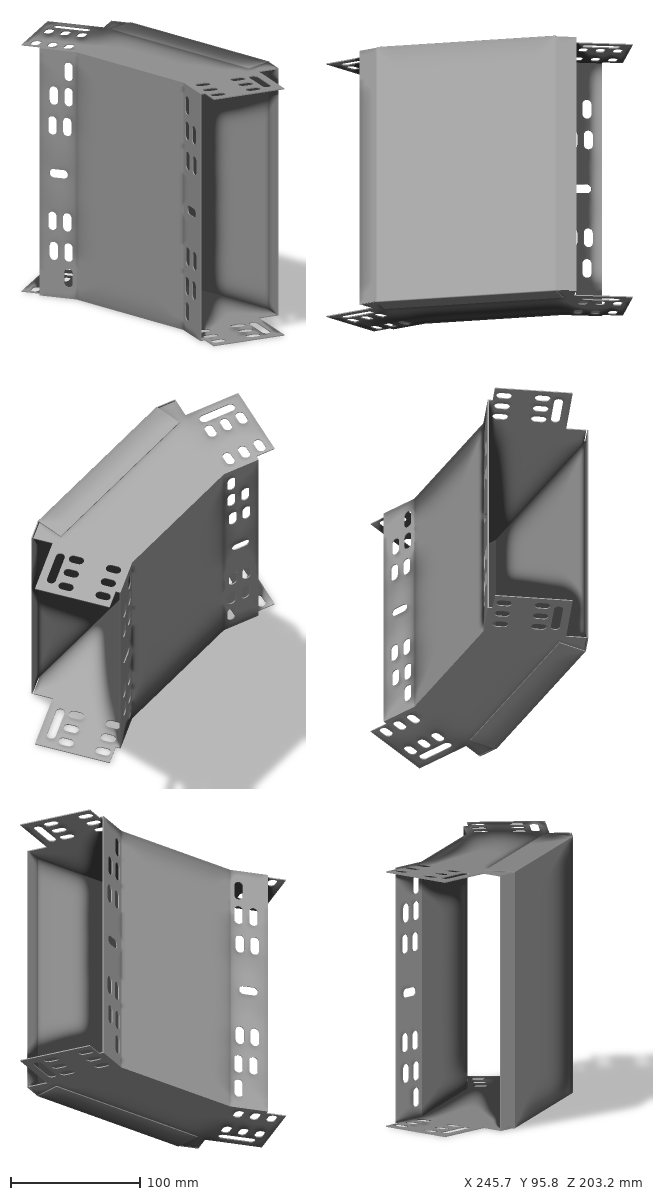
import cadquery as cq
import math


sheet = 0.8
inner_width = 200.0
overall_length = 245.68
overall_depth = 95.78
channel_depth = 80.0
cover_gap = 0.8
wing_angle = 22.5
wall_half_length = 55.4
wall_wing_end = 30.4
cover_wing_end = 0.3
tail_front = 3.85
lip_depth = 23.4
lip_inner_radius = 0.1

plate_slot_width = 7.0
plate_slot_length = 12.0
plate_slot_first_u = 10.4
plate_slot_pitch = 13.5
plate_slot_count = 3
plate_slot_rows = (11.9, 41.9)
long_slot_length = 30.0
long_slot_u = 22.9
long_slot_v = 54.7

wall_slot_width = 7.0
wall_slot_length = 15.0
upright_slots = ((6.7, 84.0), (6.7, 63.3), (18.8, 63.3), (7.8, 38.9), (19.9, 38.9))
level_slot_u = 14.7

angle = math.radians(wing_angle)
cos_wing = math.cos(angle)
sin_wing = math.sin(angle)
miter = math.tan(angle / 2)
outer_width = inner_width + 2 * sheet
cover_width = outer_width + 2 * sheet
cover_front = channel_depth + cover_gap
cover_back = cover_front + sheet
tail_end = (overall_depth - cover_back + tail_front * cos_wing) / sin_wing
tail_back = (overall_length / 2 - wall_half_length - tail_end * cos_wing) / sin_wing


def wing_point(u, v):
    """Plan position, on the +X wing, of the place (u, v)."""
    x = wall_half_length + u * cos_wing + v * sin_wing
    y = v * cos_wing - u * sin_wing
    return (x, y)


def bend_point(depth):
    """Plan position of the +X bend at a depth behind the wall's outer face."""
    return (wall_half_length + depth * miter, depth)


def symmetric_prism(right_points, height):
    """Prism centred on Z, with its outline mirrored about X = 0."""
    left_points = [(-x, y) for x, y in reversed(right_points)]
    outline = cq.Workplane("XY").polyline(right_points + left_points).close()
    return outline.extrude(height / 2, both=True)


def both_wings(cutter):
    """The cutter of the +X wing together with its mirror image."""
    return cutter.union(cutter.mirror("YZ"))


def plate_slot(u, v, length, turn):
    """Slot through both side plates; turn is measured from the wing wall's direction."""
    return (
        cq.Workplane("XY")
        .center(*wing_point(u, v))
        .slot2D(length, plate_slot_width, turn - wing_angle)
        .extrude(outer_width, both=True)
    )


def wall_slot(u, z, turn):
    """Slot square through the wing wall; turn is measured from level."""
    x, y = wing_point(u, 0)
    plane = cq.Plane(origin=(x, y, z), xDir=(cos_wing, -sin_wing, 0), normal=(sin_wing, cos_wing, 0))
    return (
        cq.Workplane(plane)
        .slot2D(wall_slot_length, wall_slot_width, turn)
        .extrude(2 * sheet, both=True)
    )


def channel_shell():
    """Front wall with its wings, and the two side plates with their tails."""
    plate = [
        bend_point(0),
        wing_point(wall_wing_end, 0),
        wing_point(wall_wing_end, tail_front),
        wing_point(tail_end, tail_front),
        wing_point(tail_end, tail_back),
        wing_point(cover_wing_end, tail_back),
        wing_point(cover_wing_end, channel_depth),
        bend_point(channel_depth),
    ]
    space = [
        bend_point(sheet),
        wing_point(2 * tail_end, sheet),
        wing_point(2 * tail_end, 2 * channel_depth),
    ]
    return symmetric_prism(plate, outer_width).cut(symmetric_prism(space, inner_width))


def make_channel():
    cutters = [
        plate_slot(long_slot_u, long_slot_v, long_slot_length, 0),
        wall_slot(level_slot_u, 0, 0),
    ]
    for row in plate_slot_rows:
        for i in range(plate_slot_count):
            u = plate_slot_first_u + i * plate_slot_pitch
            cutters.append(plate_slot(u, row, plate_slot_length, 90))
    for u, height in upright_slots:
        for z in (-height, height):
            cutters.append(wall_slot(u, z, 90))

    body = channel_shell()
    for cutter in cutters:
        body = body.cut(both_wings(cutter))
    return body


def rounded_block(length, front, back, width, corner_radius):
    """Block centred on X and Z with its two long back edges rounded."""
    block = cq.Workplane("XY").box(length, back - front, width)
    block = block.edges("|X and >Y").fillet(corner_radius)
    return block.translate((0, (front + back) / 2, 0))


def make_cover():
    """Back wall bent along the wings, with a lip over the outside of each side plate."""
    length = 2 * bend_point(cover_back)[0]
    lip_front = cover_back - lip_depth
    outside = rounded_block(length, lip_front, cover_back, cover_width, lip_inner_radius + sheet)
    inside = rounded_block(2 * length, lip_front - sheet, cover_front, outer_width, lip_inner_radius)
    bent_wall = [
        bend_point(cover_front),
        wing_point(cover_wing_end, cover_front),
        wing_point(cover_wing_end, cover_back),
        bend_point(cover_back),
    ]
    return outside.cut(inside).union(symmetric_prism(bent_wall, outer_width))


channel = make_channel()
cover = make_cover()
result = cq.Compound.makeCompound([channel.val(), cover.val()])